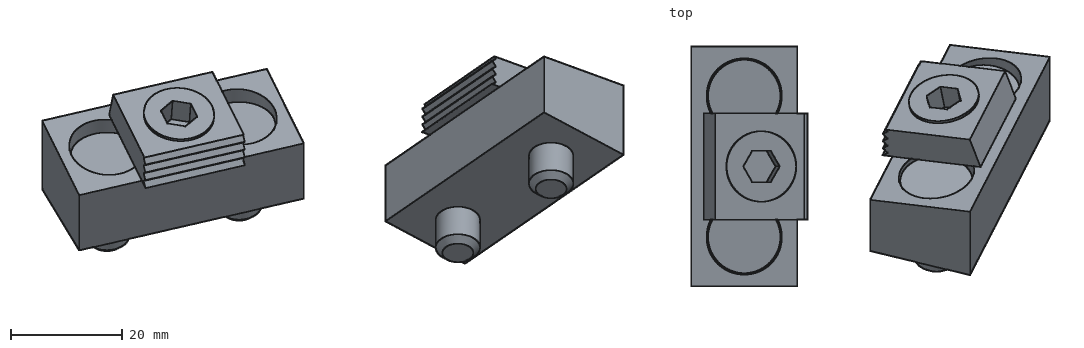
import cadquery as cq
import math

block_length = 43.2
block_width = 19.1
block_bottom = 7.43
block_top = 23.1
slope_angle = 9.0
slope = math.tan(math.radians(slope_angle))

bolt_x = block_width / 2
bolt_offset = 12.7
bolt_diameter = 8.0
bolt_chamfer = 1.2
bolt_head_diameter = 13.0
bolt_head_height = bolt_diameter
bolt_head_top = 19.85
bolt_head_bottom = bolt_head_top - bolt_head_height
counterbore_diameter = 13.55

jaw_width = 19.1
jaw_thickness = 6.4
jaw_back_x = 2.25
jaw_back_lean = 18.5
jaw_front_x = 21.0
tooth_tip_x = 20.9
tooth_root_x = 20.0
tooth_pitch = 1.75
tooth_count = 4

screw_diameter = 12.7
screw_head_projection = 0.5
screw_head_x = 12.65
hex_across_flats = 5.75
hex_depth = 4.85
screw_length = jaw_thickness + screw_head_projection


def slope_height(x):
    """Height of the sloping block top at a given X."""
    return block_top - x * slope


jaw_rise = jaw_thickness / math.cos(math.radians(slope_angle))


def make_bolt(y):
    shank = (
        cq.Workplane("XY")
        .center(bolt_x, y)
        .circle(bolt_diameter / 2)
        .extrude(bolt_head_bottom)
        .faces("<Z")
        .chamfer(bolt_chamfer)
    )
    head = (
        cq.Workplane("XY", origin=(bolt_x, y, bolt_head_bottom))
        .circle(bolt_head_diameter / 2)
        .extrude(bolt_head_height)
    )
    return shank.union(head)


def make_block():
    bolt_positions = [(bolt_x, -bolt_offset), (bolt_x, bolt_offset)]
    block = (
        cq.Workplane("XZ")
        .moveTo(0, block_bottom)
        .lineTo(block_width, block_bottom)
        .lineTo(block_width, slope_height(block_width))
        .lineTo(0, block_top)
        .close()
        .extrude(block_length / 2, both=True)
    )
    bolt_holes = (
        cq.Workplane("XY")
        .pushPoints(bolt_positions)
        .circle(bolt_diameter / 2)
        .extrude(block_top)
    )
    counterbores = (
        cq.Workplane("XY", origin=(0, 0, bolt_head_bottom))
        .pushPoints(bolt_positions)
        .circle(counterbore_diameter / 2)
        .extrude(block_top - bolt_head_bottom)
    )
    return block.cut(bolt_holes).cut(counterbores)


def screw_foot_plane():
    """Plane on the block top, square to the screw axis, with its X running down the slope."""
    tilt = math.radians(slope_angle)
    foot_x = screw_head_x - screw_length * math.sin(tilt)
    return cq.Plane(
        origin=(foot_x, 0, slope_height(foot_x)),
        xDir=(math.cos(tilt), 0, -math.sin(tilt)),
        normal=(math.sin(tilt), 0, math.cos(tilt)),
    )


def make_screw_body():
    """Plain cylinder of the clamp screw, from the block top upwards."""
    return cq.Workplane(screw_foot_plane()).circle(screw_diameter / 2).extrude(screw_length)


def make_screw():
    hex_corner_diameter = hex_across_flats / math.cos(math.radians(30))
    socket = (
        cq.Workplane(screw_foot_plane())
        .workplane(offset=screw_length - hex_depth)
        .polygon(6, hex_corner_diameter)
        .extrude(hex_depth)
    )
    return make_screw_body().cut(socket)


def make_jaw():
    tip_z = slope_height(jaw_front_x)
    teeth = []
    for i in range(tooth_count):
        tip_x = jaw_front_x if i == 0 else tooth_tip_x
        teeth.append((tip_x, tip_z + i * tooth_pitch))
        teeth.append((tooth_root_x, tip_z + (i + 0.5) * tooth_pitch))

    root_x, root_z = teeth[-1]
    flank_slope = tooth_pitch / 2 / (tooth_tip_x - tooth_root_x)
    flank_run = (slope_height(root_x) + jaw_rise - root_z) / (flank_slope + slope)
    front_top_x = root_x + flank_run
    front_top = (front_top_x, slope_height(front_top_x) + jaw_rise)

    lean = math.tan(math.radians(jaw_back_lean))
    back_rise = jaw_rise / (1 + lean * slope)
    back_bottom = (jaw_back_x, slope_height(jaw_back_x))
    back_top = (jaw_back_x + back_rise * lean, back_bottom[1] + back_rise)

    outline = [back_bottom, *teeth, front_top, back_top]
    jaw = cq.Workplane("XZ").polyline(outline).close().extrude(jaw_width / 2, both=True)
    return jaw.cut(make_screw_body())


block = make_block()
jaw = make_jaw()
screw = make_screw()
bolts = [make_bolt(side * bolt_offset) for side in (-1, 1)]

result = cq.Compound.makeCompound(
    [block.val(), jaw.val(), screw.val(), *[bolt.val() for bolt in bolts]]
)